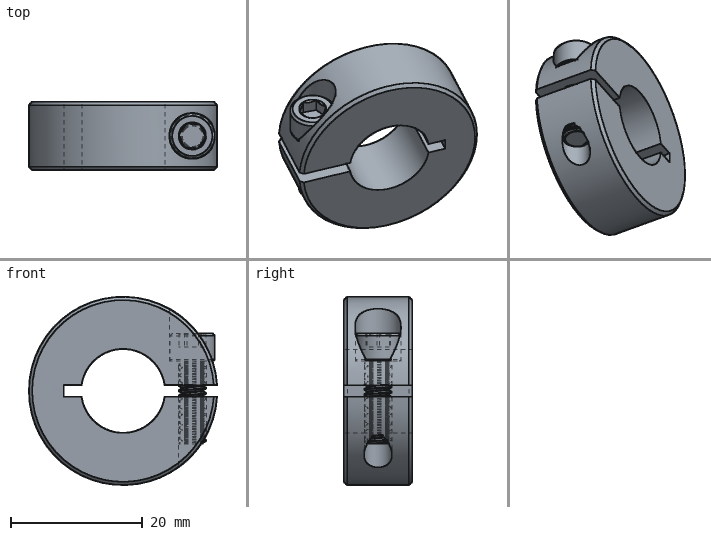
import cadquery as cq
import math

ring_diameter = 28.57
ring_width = 10.4
ring_chamfer = 0.5
bore_diameter = 12.69
slot_width = 1.75
relief_slot_reach = 8.97

screw_x = 10.49
thread_diameter = 4.17
root_diameter = 3.2
screw_length = 12.57
thread_turns = 15.8
thread_start_angle = 160.0
head_diameter = 6.85
head_height = thread_diameter
head_seat_z = 4.6
head_top_chamfer = 0.4
head_bottom_chamfer = 0.17
socket_across_flats = 3.57
socket_depth = head_height / 2
socket_angle = -5.0

screw_hole_diameter = 4.23
counterbore_diameter = 6.97

ring_radius = ring_diameter / 2
socket_across_corners = socket_across_flats / math.cos(math.radians(30))


def upright_cylinder(diameter, bottom_z, top_z):
    """Cylinder on the Z axis between two heights."""
    return cq.Workplane("XY").workplane(offset=bottom_z).circle(diameter / 2).extrude(top_z - bottom_z)


def make_ring():
    ring = (
        cq.Workplane("XZ")
        .circle(ring_radius)
        .extrude(ring_width / 2, both=True)
        .edges("%CIRCLE")
        .chamfer(ring_chamfer)
    )
    bore = cq.Workplane("XZ").circle(bore_diameter / 2).extrude(ring_width / 2, both=True)

    slot_length = relief_slot_reach + ring_radius
    slot_center_x = (ring_radius - relief_slot_reach) / 2
    slot = cq.Workplane("XY").box(slot_length, ring_width, slot_width).translate((slot_center_x, 0, 0))

    screw_hole = upright_cylinder(screw_hole_diameter, -ring_radius, head_seat_z)
    counterbore = upright_cylinder(counterbore_diameter, head_seat_z, ring_radius)
    screw_opening = screw_hole.union(counterbore).translate((screw_x, 0, 0))
    return ring.cut(bore).cut(slot).cut(screw_opening)


def make_shank():
    """Right-handed thread, made by twisting its cross-section one turn per pitch.

    The cross-section holds the crest and root of the thread as arcs, joined by spirals for the flanks.
    """
    crest_radius = thread_diameter / 2
    root_radius = root_diameter / 2
    flat_half_angle = 360 / 16
    flank_angle = 180 - 2 * flat_half_angle
    spiral_steps = 4

    def at(radius, angle):
        return radius * math.cos(math.radians(angle)), radius * math.sin(math.radians(angle))

    def flank(start_radius, end_radius, start_angle):
        """Points along a spiral flank, without its first point."""
        points = []
        for step in range(1, spiral_steps + 1):
            fraction = step / spiral_steps
            radius = start_radius + (end_radius - start_radius) * fraction
            points.append(at(radius, start_angle + flank_angle * fraction))
        return points

    section = (
        cq.Workplane("XY")
        .moveTo(*at(crest_radius, -flat_half_angle))
        .threePointArc(at(crest_radius, 0), at(crest_radius, flat_half_angle))
        .spline(flank(crest_radius, root_radius, flat_half_angle), includeCurrent=True)
        .threePointArc(at(root_radius, 180), at(root_radius, 180 + flat_half_angle))
        .spline(flank(root_radius, crest_radius, 180 + flat_half_angle), includeCurrent=True)
        .close()
    )
    return (
        section.twistExtrude(screw_length, 360 * thread_turns)
        .rotate((0, 0, 0), (0, 0, 1), thread_start_angle)
        .translate((0, 0, -screw_length))
    )


def make_socket():
    """Hexagonal key socket with a 45 degree conical lead-in as wide as the hexagon's corners."""
    hexagon = (
        cq.Workplane("XY")
        .polygon(6, socket_across_corners)
        .extrude(-socket_depth)
        .rotate((0, 0, 0), (0, 0, 1), socket_angle)
    )
    cone_radius = socket_across_corners / 2
    lead_in = (
        cq.Workplane("XZ")
        .polyline([(0, 0), (cone_radius, 0), (0, -cone_radius)])
        .close()
        .revolve(360, (0, 0, 0), (0, 1, 0))
    )
    return hexagon.union(lead_in).translate((0, 0, head_height))


def make_screw():
    """Screw built on the Z axis with its head seat at Z = 0, then moved into the ring."""
    head = (
        upright_cylinder(head_diameter, 0, head_height)
        .faces(">Z")
        .chamfer(head_top_chamfer)
        .faces("<Z")
        .chamfer(head_bottom_chamfer)
        .cut(make_socket())
    )
    return head.union(make_shank(), clean=False).translate((screw_x, 0, head_seat_z))


ring = make_ring()
screw = make_screw()
result = cq.Compound.makeCompound([ring.solids().val(), screw.solids().val()])